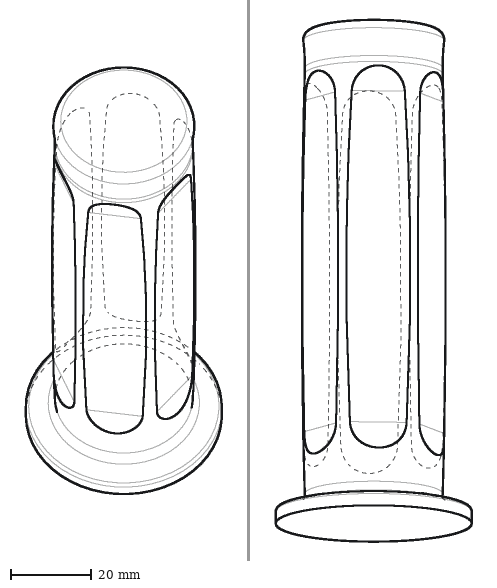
import cadquery as cq
import math

height = 125
flange_radius = 49.0 / 2

rim_height = 3.0
rim_round = 0.8
slope_top_radius = 18.9
slope_top_z = 5.0
flare_top_z = 7.5
flare_bulge = 0.44

grip_end_radius = 17.2
grip_middle_radius = 18.0
grip_top_z = 114.1

neck_height = 1.5
cap_radius = 17.6
cap_hollow = 0.1
cap_round_width = 1.9
cap_round_height = 2.4

flat_count = 6
flat_distance = 16.1
flat_bottom_z = 22.8
flat_top_z = 106.9
runout_radius = 17.5
runout_angle = math.radians(30)
cutter_width = 25


def make_body():
    """Revolve the half profile of the handle about Z."""
    rim_inner = flange_radius - rim_round
    rim_top_z = rim_height + rim_round
    diagonal = math.sqrt(0.5)
    rim_mid = (rim_inner + rim_round * diagonal, rim_height + rim_round * diagonal)

    flare_mid = (
        (slope_top_radius + grip_end_radius) / 2 - flare_bulge,
        (slope_top_z + flare_top_z) / 2 - flare_bulge,
    )
    grip_mid = (grip_middle_radius, (flare_top_z + grip_top_z) / 2)

    neck_top_z = grip_top_z + neck_height
    cap_edge_z = height - cap_round_height
    cap_mid = ((grip_end_radius + cap_radius) / 2 - cap_hollow, (neck_top_z + cap_edge_z) / 2)
    cap_top_radius = cap_radius - cap_round_width
    round_mid = (
        cap_top_radius + cap_round_width * diagonal,
        cap_edge_z + cap_round_height * diagonal,
    )

    return (
        cq.Workplane("XZ")
        .lineTo(flange_radius, 0)
        .lineTo(flange_radius, rim_height)
        .threePointArc(rim_mid, (rim_inner, rim_top_z))
        .lineTo(slope_top_radius, slope_top_z)
        .threePointArc(flare_mid, (grip_end_radius, flare_top_z))
        .threePointArc(grip_mid, (grip_end_radius, grip_top_z))
        .lineTo(grip_end_radius, neck_top_z)
        .threePointArc(cap_mid, (cap_radius, cap_edge_z))
        .threePointArc(round_mid, (cap_top_radius, height))
        .lineTo(0, height)
        .close()
        .revolve(360, (0, 0), (0, 1))
    )


def runout_point(angle):
    """Outward and lengthwise travel along a runout arc tangent to the flat."""
    outward = runout_radius * (1 - math.cos(angle))
    lengthwise = runout_radius * math.sin(angle)
    return outward, lengthwise


def make_flat_cutter():
    """Cutter for the flat facing +X, with a concave runout at each end."""
    mid_out, mid_along = runout_point(runout_angle / 2)
    end_out, end_along = runout_point(runout_angle)
    return (
        cq.Workplane("XZ")
        .moveTo(flat_distance, flat_bottom_z)
        .lineTo(flat_distance, flat_top_z)
        .threePointArc(
            (flat_distance + mid_out, flat_top_z + mid_along),
            (flat_distance + end_out, flat_top_z + end_along),
        )
        .lineTo(flat_distance + end_out, flat_bottom_z - end_along)
        .threePointArc(
            (flat_distance + mid_out, flat_bottom_z - mid_along),
            (flat_distance, flat_bottom_z),
        )
        .close()
        .extrude(cutter_width / 2, both=True)
    )


result = make_body()
flat_cutter = make_flat_cutter()
for index in range(flat_count):
    angle = index * 360 / flat_count
    result = result.cut(flat_cutter.rotate((0, 0, 0), (0, 0, 1), angle))